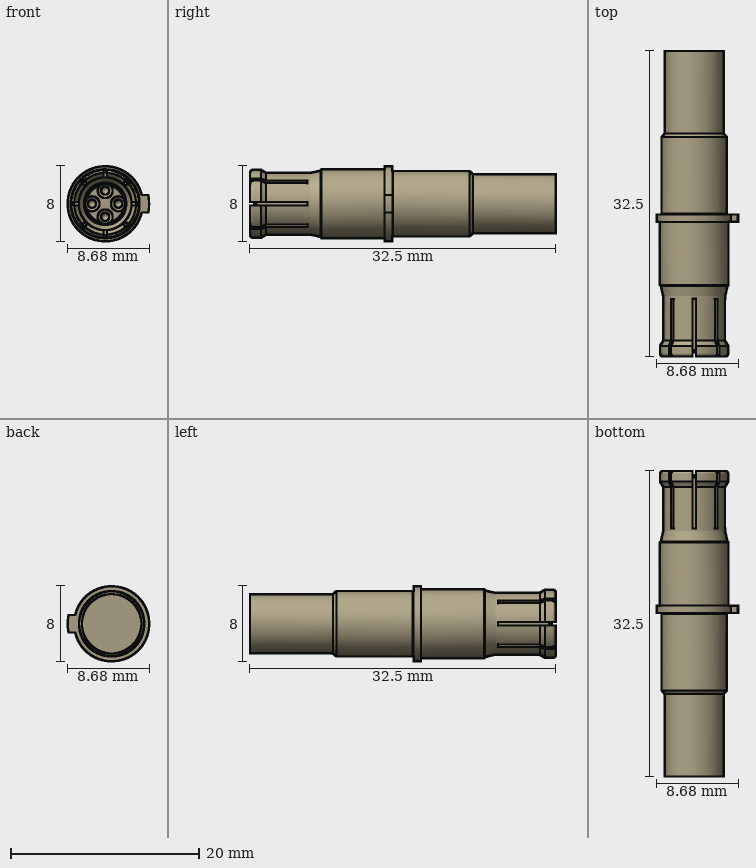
import cadquery as cq
import math


overall_length = 32.46
tube_radius = 3.15
rear_body_radius = 3.48
rear_chamfer_front = 23.3
rear_chamfer_back = 23.67
front_body_radius = 3.67
front_body_start = 7.6
front_edge_radius = 3.55
front_edge_length = 0.1
collet_radius = 3.3
cone_front = 6.4

flange_radius = 4.0
flange_front = 14.3
flange_back = 15.1
key_radius = 4.68
key_width = 1.9

relief_depth = 0.05
relief_width = 0.1

rim_radius = 3.63
rim_cone_back = 1.7
rim_cone_front = 1.15
rim_fillet = 0.35
mouth_chamfer = 0.25
mouth_radius = rim_radius - rim_fillet - mouth_chamfer
mouth_taper_back = 0.6
bore_radius = 2.8
bore_depth = 6.2
bore_end_cone_length = 0.9

slot_count = 8
slot_width = 0.34
slot_length = 6.13

insert_radius = 2.25
insert_face = 0.43
insert_embedding = 1.0
insert_chamfer_radial = 0.22
insert_chamfer_axial = 0.28
contact_count = 4
contact_circle_radius = 1.4
entry_radius = 0.8
entry_depth = 0.35
contact_hole_radius = 0.43
contact_hole_depth = 0.15
contact_tip_depth = 0.25


def revolve_about_y(profile):
    """Close an XY profile and turn it fully around the Y axis."""
    return profile.close().revolve(360, (0, 0, 0), (0, 1, 0))


def make_body():
    """Stepped outer body, solid right through, with a rounded rim."""
    diagonal = rim_fillet * math.sqrt(0.5)
    fillet_mid = (rim_radius - rim_fillet + diagonal, rim_fillet - diagonal)
    profile = (
        cq.Workplane("XY")
        .lineTo(rim_radius - rim_fillet, 0)
        .threePointArc(fillet_mid, (rim_radius, rim_fillet))
        .lineTo(rim_radius, rim_cone_front)
        .lineTo(collet_radius, rim_cone_back)
        .lineTo(collet_radius, cone_front)
        .lineTo(front_edge_radius, front_body_start - front_edge_length)
        .lineTo(front_body_radius, front_body_start)
        .lineTo(front_body_radius, flange_front)
        .lineTo(flange_radius, flange_front)
        .lineTo(flange_radius, flange_back)
        .lineTo(rear_body_radius - relief_depth, flange_back)
        .lineTo(rear_body_radius - relief_depth, flange_back + relief_width)
        .lineTo(rear_body_radius, flange_back + relief_width)
        .lineTo(rear_body_radius, rear_chamfer_front)
        .lineTo(tube_radius, rear_chamfer_back)
        .lineTo(tube_radius, overall_length)
        .lineTo(0, overall_length)
    )
    return revolve_about_y(profile)


def make_key():
    """Key on the +X side of the flange, its outer end concentric with the axis."""
    flange_width = flange_back - flange_front
    block = cq.Workplane("XY").box(
        key_radius, flange_width, key_width, centered=(False, False, True)
    )
    end_round = cq.Workplane("XZ").circle(key_radius).extrude(-flange_width)
    return block.intersect(end_round).translate((0, flange_front, 0))


def make_bore():
    """Collet bore: chamfered and tapered mouth, long bore and end cone."""
    profile = (
        cq.Workplane("XY")
        .lineTo(mouth_radius + mouth_chamfer, 0)
        .lineTo(mouth_radius, mouth_chamfer)
        .lineTo(bore_radius, mouth_taper_back)
        .lineTo(bore_radius, bore_depth)
        .lineTo(insert_radius, bore_depth + bore_end_cone_length)
        .lineTo(0, bore_depth + bore_end_cone_length)
    )
    return revolve_about_y(profile)


def make_slots():
    """Radial slots through the collet wall, evenly spaced from +X."""
    slots = cq.Workplane("XY")
    for index in range(slot_count):
        slot = (
            cq.Workplane("XY")
            .box(flange_radius, slot_length, slot_width, centered=(False, False, True))
            .rotate((0, 0, 0), (0, 1, 0), index * 360 / slot_count)
        )
        slots = slots.add(slot)
    return slots.combine()


def make_contact_hole():
    """Blind contact hole with a conical lead-in and a conical bottom, on the part axis."""
    entry_back = insert_face + entry_depth
    hole_back = entry_back + contact_hole_depth
    profile = (
        cq.Workplane("XY")
        .moveTo(0, insert_face)
        .lineTo(entry_radius, insert_face)
        .lineTo(contact_hole_radius, entry_back)
        .lineTo(contact_hole_radius, hole_back)
        .lineTo(0, hole_back + contact_tip_depth)
    )
    return revolve_about_y(profile)


def make_insert():
    """Round insert with a chamfered face and a ring of contact holes."""
    insert_back = bore_depth + bore_end_cone_length + insert_embedding
    profile = (
        cq.Workplane("XY")
        .moveTo(0, insert_face)
        .lineTo(insert_radius - insert_chamfer_radial, insert_face)
        .lineTo(insert_radius, insert_face + insert_chamfer_axial)
        .lineTo(insert_radius, insert_back)
        .lineTo(0, insert_back)
    )
    insert = revolve_about_y(profile)
    hole = make_contact_hole().translate((contact_circle_radius, 0, 0))
    for index in range(contact_count):
        insert = insert.cut(hole.rotate((0, 0, 0), (0, 1, 0), index * 360 / contact_count))
    return insert


shell = make_body().union(make_key()).cut(make_bore()).cut(make_slots())
result = shell.union(make_insert())